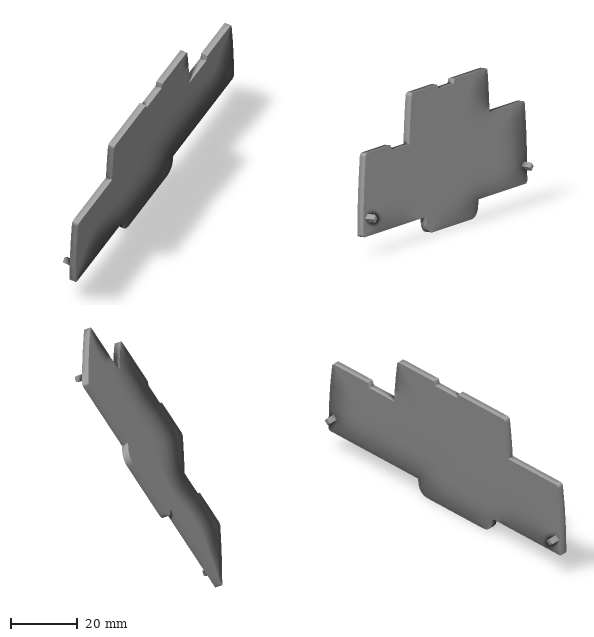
import math

import cadquery as cq

PLATE_THICKNESS = 2.1
FLANK_RADIUS = 200.0
TOP_CORNER_RADIUS = 1.0
BOTTOM_CORNER_RADIUS = 0.9

BODY_HALF_WIDTH = 47.2
BODY_BOTTOM = 5.4
BODY_TOP = 30.8
BODY_WIDEST_Z = BODY_BOTTOM + BOTTOM_CORNER_RADIUS

UPPER_CENTER_Y = -2.45
UPPER_HALF_WIDTH = 23.35
UPPER_WIDEST_Z = 19.6
UPPER_TOP = 44.6

TAB_CENTER_Y = -4.1
TAB_ROOT_HALF_WIDTH = 15.1
TAB_DRAFT = 8.0
TAB_RADIUS = 3.6
TAB_ROOT_FILLET = 0.4

TOP_NOTCH_CENTER_Y = -0.35
TOP_NOTCH_FLOOR_HALF_WIDTH = 4.4
TOP_NOTCH_DEPTH = 1.4
TOP_NOTCH_RUN = 0.5
SIDE_NOTCH_OUTER_Y = 30.7
SIDE_NOTCH_DEPTH = 1.6
SIDE_NOTCH_RUN = 0.65

PIN_Y = 45.0
PIN_Z = 11.1
PIN_DIAGONAL = 2.55
PIN_LENGTH = 3.0
PIN_TIP_CHAMFER = 0.25


def flank_inset(height):
    """Distance the flank arc has moved inwards at a height above its widest level."""
    return FLANK_RADIUS - math.sqrt(FLANK_RADIUS**2 - height**2)


def extrude_plate(outline):
    """Extrude a closed YZ outline through the plate thickness."""
    return outline.close().extrude(PLATE_THICKNESS)


def bulged_body(center_y, half_width, widest_z, bottom, top):
    """Block with flat top and bottom whose two sides are large arcs."""

    def half_width_at(z):
        return half_width - flank_inset(z - widest_z)

    middle = (bottom + top) / 2
    bottom_half = half_width_at(bottom)
    middle_half = half_width_at(middle)
    top_half = half_width_at(top)
    outline = (
        cq.Workplane("YZ")
        .moveTo(center_y - bottom_half, bottom)
        .lineTo(center_y + bottom_half, bottom)
        .threePointArc((center_y + middle_half, middle), (center_y + top_half, top))
        .lineTo(center_y - top_half, top)
        .threePointArc((center_y - middle_half, middle), (center_y - bottom_half, bottom))
    )
    return extrude_plate(outline)


def lower_body():
    body = bulged_body(0, BODY_HALF_WIDTH, BODY_WIDEST_Z, BODY_BOTTOM, BODY_TOP)
    body = body.faces(">Z").edges("|X").fillet(TOP_CORNER_RADIUS)
    body = body.faces("<Z").edges("|X").fillet(BOTTOM_CORNER_RADIUS)
    return body.cut(side_notch())


def upper_body():
    bottom = BODY_TOP - SIDE_NOTCH_DEPTH
    body = bulged_body(UPPER_CENTER_Y, UPPER_HALF_WIDTH, UPPER_WIDEST_Z, bottom, UPPER_TOP)
    body = body.faces(">Z").edges("|X").fillet(TOP_CORNER_RADIUS)
    return body.cut(top_notch())


def side_notch():
    """Step in the lower body's top edge, running in to the upper body."""
    floor = BODY_TOP - SIDE_NOTCH_DEPTH
    outline = (
        cq.Workplane("YZ")
        .moveTo(UPPER_CENTER_Y, floor)
        .lineTo(SIDE_NOTCH_OUTER_Y, floor)
        .lineTo(SIDE_NOTCH_OUTER_Y + SIDE_NOTCH_RUN, BODY_TOP)
        .lineTo(UPPER_CENTER_Y, BODY_TOP)
    )
    return extrude_plate(outline)


def top_notch():
    floor = UPPER_TOP - TOP_NOTCH_DEPTH
    mouth_half_width = TOP_NOTCH_FLOOR_HALF_WIDTH + TOP_NOTCH_RUN
    outline = (
        cq.Workplane("YZ")
        .moveTo(TOP_NOTCH_CENTER_Y - TOP_NOTCH_FLOOR_HALF_WIDTH, floor)
        .lineTo(TOP_NOTCH_CENTER_Y + TOP_NOTCH_FLOOR_HALF_WIDTH, floor)
        .lineTo(TOP_NOTCH_CENTER_Y + mouth_half_width, UPPER_TOP)
        .lineTo(TOP_NOTCH_CENTER_Y - mouth_half_width, UPPER_TOP)
    )
    return extrude_plate(outline)


def tab():
    bottom_half_width = TAB_ROOT_HALF_WIDTH - BODY_BOTTOM * math.tan(math.radians(TAB_DRAFT))
    outline = (
        cq.Workplane("YZ")
        .moveTo(TAB_CENTER_Y - TAB_ROOT_HALF_WIDTH, BODY_BOTTOM)
        .lineTo(TAB_CENTER_Y - bottom_half_width, 0)
        .lineTo(TAB_CENTER_Y + bottom_half_width, 0)
        .lineTo(TAB_CENTER_Y + TAB_ROOT_HALF_WIDTH, BODY_BOTTOM)
    )
    block = extrude_plate(outline)
    return block.faces("<Z").edges("|X").fillet(TAB_RADIUS)


def fillet_tab_root(plate):
    """Round the inner corner where the tab's -Y wall meets the lower body."""
    root = cq.selectors.NearestToPointSelector(
        (PLATE_THICKNESS / 2, TAB_CENTER_Y - TAB_ROOT_HALF_WIDTH, BODY_BOTTOM)
    )
    return plate.edges("|X").edges(root).fillet(TAB_ROOT_FILLET)


def pin(y):
    side = PIN_DIAGONAL / math.sqrt(2)
    return (
        cq.Workplane("YZ")
        .rect(side, side)
        .extrude(-PIN_LENGTH)
        .faces("<X")
        .chamfer(PIN_TIP_CHAMFER)
        .rotate((0, 0, 0), (1, 0, 0), 45)
        .translate((0, y, PIN_Z))
    )


plate = fillet_tab_root(lower_body().union(upper_body()).union(tab()))
result = plate.union(pin(PIN_Y)).union(pin(-PIN_Y))